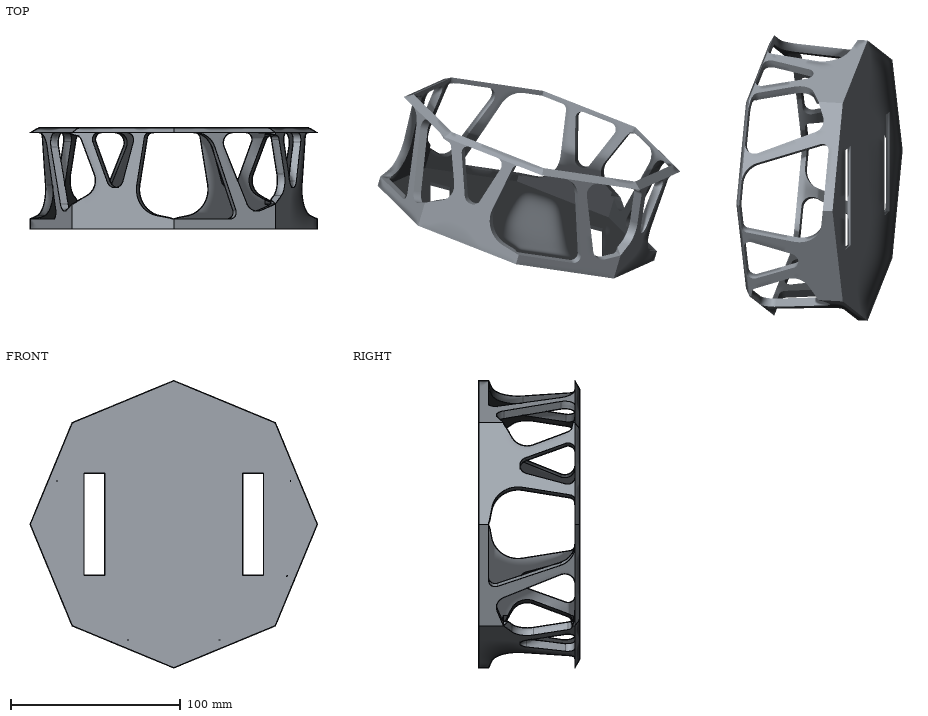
import cadquery as cq
import math

SIDES = 8
QUARTERS = SIDES // 2
CORNER_RADIUS = 85.0
WALL = 5.0
PLATE = 2.0
BASE_BAND = 6.0
RIM_START = 57.0
HEIGHT = 60.0

SLOT_WIDTH = 12.0
SLOT_LENGTH = 60.2
SLOT_OFFSET = 47.0

HALF_STEP = math.pi / SIDES
APOTHEM = CORNER_RADIUS * math.cos(HALF_STEP)
FACET = 2 * CORNER_RADIUS * math.sin(HALF_STEP)
INNER_RADIUS = (APOTHEM - WALL) / math.cos(HALF_STEP)
CUT_DEPTH = WALL + 1.7

LOW_CROSSING = 14.8
TOP_CROSSING = 55.8


V_FACET = [
    [(0, BASE_BAND, 0), (26.4, 10.7, 15.8), (18.4, RIM_START, 3.4), (0, RIM_START, 0)],
    [(24.3, RIM_START, 4.2), (36.9, 13.3, 5.3), (53.9, RIM_START, 3.9)],
    [(FACET, LOW_CROSSING, 0), (47.6, 24.1, 10.0), (60.0, 54.7, 3.7), (FACET, TOP_CROSSING, 0)],
]

STRUT_FACET = [
    [(0, BASE_BAND, 0), (41.6, BASE_BAND, 3.9), (23.3, RIM_START, 12.8), (0, RIM_START, 0)],
    [
        (FACET, LOW_CROSSING, 0),
        (49.6, 8.5, 7.1),
        (28.7, RIM_START, 6.0),
        (60.4, RIM_START, 34.0),
        (FACET, TOP_CROSSING, 0),
    ],
]


def octagon(radius, start):
    """Octagon with corners on the X and Z axes, on the plane at height `start`."""
    corners = [
        (radius * math.cos(2 * k * HALF_STEP), radius * math.sin(2 * k * HALF_STEP))
        for k in range(SIDES)
    ]
    return cq.Workplane("XZ", origin=(0, start, 0)).polyline(corners).close()


def prism(radius, start, end):
    """Straight octagonal prism between two heights."""
    return octagon(radius, start).extrude(start - end)


def rounded_outline(plane, corners):
    """Closed outline through the corners, each rounded by a tangent arc of its own radius."""
    outline = None
    count = len(corners)
    for k, (x, y, radius) in enumerate(corners):
        corner = cq.Vector(x, y)
        to_last = (cq.Vector(*corners[k - 1][:2]) - corner).normalized()
        to_next = (cq.Vector(*corners[(k + 1) % count][:2]) - corner).normalized()
        half_angle = to_last.getAngle(to_next) / 2
        setback = radius / math.tan(half_angle)
        begin = corner + to_last * setback
        end = corner + to_next * setback
        bisector = (to_last + to_next).normalized()
        middle = corner + bisector * (radius / math.sin(half_angle) - radius)
        if outline is None:
            outline = plane.moveTo(begin.x, begin.y)
        else:
            outline = outline.lineTo(begin.x, begin.y)
        if radius > 0:
            outline = outline.threePointArc((middle.x, middle.y), (end.x, end.y))
    return outline.close()


def facet_plane(direction):
    """Outer plane of a facet beside the +Z corner, with its origin on that corner.

    Local x runs along the facet (towards +X or -X by `direction`), local y along +Y.
    """
    along = cq.Vector(direction * math.cos(HALF_STEP), 0, -math.sin(HALF_STEP))
    normal = along.cross(cq.Vector(0, 1, 0))
    return cq.Workplane(cq.Plane((0, 0, CORNER_RADIUS), along, normal))


def facet_cutters(openings, direction):
    """Solids that cut the openings of one facet, square to its face."""
    inward = -direction * CUT_DEPTH
    cutters = []
    for corners in openings:
        cutter = rounded_outline(facet_plane(direction), corners).extrude(inward)
        cutters.append(cutter)
    return cutters


rim_taper = math.degrees(math.atan2(WALL, HEIGHT - RIM_START))
rim = octagon(CORNER_RADIUS, RIM_START).extrude(RIM_START - HEIGHT, taper=rim_taper)
body = prism(CORNER_RADIUS, 0, RIM_START).union(rim)
body = body.cut(prism(INNER_RADIUS, PLATE, HEIGHT))

slots = (
    cq.Workplane("XZ")
    .pushPoints([(-SLOT_OFFSET, 0), (SLOT_OFFSET, 0)])
    .rect(SLOT_WIDTH, SLOT_LENGTH)
    .extrude(-PLATE)
)
body = body.cut(slots)

for cutter in facet_cutters(V_FACET, -1) + facet_cutters(STRUT_FACET, 1):
    for quarter in range(QUARTERS):
        body = body.cut(cutter.rotate((0, 0, 0), (0, 1, 0), quarter * 360 / QUARTERS))

result = body